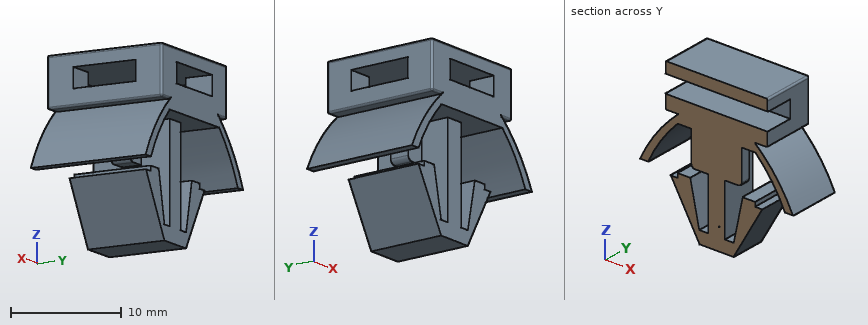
import cadquery as cq
import math

head_width = 12.0
head_height = 5.0
head_edge_radius = 0.2
window_width = 6.5
window_height = 2.0
window_centre_z = 2.65

plate_bottom_z = -1.0
arm_tip_z = -6.0
arm_tip_x = 9.0
arm_tip_width = 1.0
arm_root_x = 4.3
arm_root_z = head_edge_radius
arm_inner_root_x = 4.55
arm_outer_radius = 18.0
arm_inner_radius = 17.1

stem_width = 2.0
snap_depth = 8.0
snap_bottom_z = -12.5
barb_bottom_half_width = 2.0
barb_half_width = 5.4
barb_shoulder_z = -6.5
barb_top_z = -6.0
barb_top_outer_x = 4.55
barb_top_inner_x = 3.05
barb_slot_floor_z = -11.0

rib_width = 6.0
rib_height = 4.0
rib_thickness = 2.0
rib_corner_radius = 0.5


def extrude_along_y(profile, depth):
    """Extrude an XZ profile symmetrically about the plane Y = 0."""
    return profile.extrude(depth / 2, both=True)


def arc_middle(start, end, radius):
    """Middle point of an arc that bulges to the left of the line from start to end."""
    dx = end[0] - start[0]
    dz = end[1] - start[1]
    chord = math.hypot(dx, dz)
    rise = radius - math.sqrt(radius**2 - (chord / 2) ** 2)
    middle_x = (start[0] + end[0]) / 2 - rise * dz / chord
    middle_z = (start[1] + end[1]) / 2 + rise * dx / chord
    return (middle_x, middle_z)


def mirrored(point):
    return (-point[0], point[1])


def make_head():
    block = cq.Workplane("XY").box(head_width, head_width, head_height, centered=(True, True, False))
    return block.edges().fillet(head_edge_radius)


def make_window_tunnels():
    """Two crossing rectangular tunnels, one along X and one along Y."""
    centre = (0, 0, window_centre_z)
    along_x = cq.Workplane("XY").box(head_width, window_width, window_height).translate(centre)
    along_y = cq.Workplane("XY").box(window_width, head_width, window_height).translate(centre)
    return along_x.union(along_y)


def make_spring_arms():
    """The plate below the head and both arms, as one profile."""
    outer_root = (arm_root_x, arm_root_z)
    outer_tip = (arm_tip_x, arm_tip_z)
    inner_tip = (arm_tip_x - arm_tip_width, arm_tip_z)
    inner_root = (arm_inner_root_x, plate_bottom_z)
    outer_middle = arc_middle(mirrored(outer_tip), mirrored(outer_root), arm_outer_radius)
    inner_middle = arc_middle(mirrored(inner_tip), mirrored(inner_root), arm_inner_radius)
    profile = (
        cq.Workplane("XZ")
        .moveTo(*mirrored(outer_root))
        .lineTo(*outer_root)
        .threePointArc(mirrored(outer_middle), outer_tip)
        .lineTo(*inner_tip)
        .threePointArc(mirrored(inner_middle), inner_root)
        .lineTo(*mirrored(inner_root))
        .threePointArc(inner_middle, mirrored(inner_tip))
        .lineTo(*mirrored(outer_tip))
        .threePointArc(outer_middle, mirrored(outer_root))
        .close()
    )
    return extrude_along_y(profile, head_width)


def make_snap():
    """The stem and both barbs, as one profile."""
    right_side = [
        (stem_width / 2, plate_bottom_z),
        (stem_width / 2, barb_slot_floor_z),
        (barb_bottom_half_width, barb_slot_floor_z),
        (barb_top_inner_x, barb_top_z),
        (barb_top_outer_x, barb_top_z),
        (barb_top_outer_x, barb_shoulder_z),
        (barb_half_width, barb_shoulder_z),
        (barb_bottom_half_width, snap_bottom_z),
    ]
    left_side = [mirrored(point) for point in reversed(right_side)]
    profile = cq.Workplane("XZ").polyline(right_side + left_side).close()
    return extrude_along_y(profile, snap_depth)


def make_rib():
    centre_z = plate_bottom_z - rib_height / 2
    rib = cq.Workplane("XY").box(rib_width, rib_thickness, rib_height).translate((0, 0, centre_z))
    return rib.edges("|Y and <Z").fillet(rib_corner_radius)


result = (
    make_head()
    .union(make_spring_arms())
    .union(make_snap())
    .union(make_rib())
    .cut(make_window_tunnels())
)